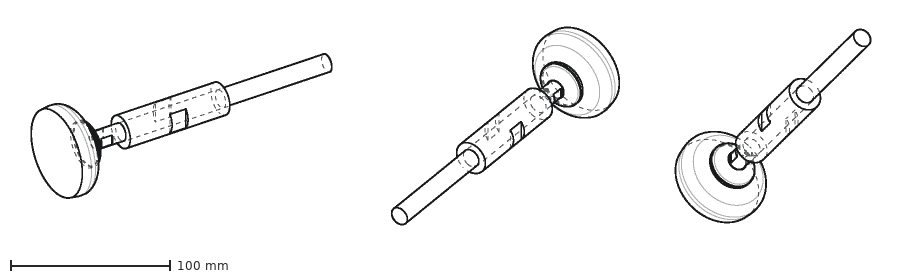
import cadquery as cq

TOTAL_LENGTH = 203.0

SPINDLE_DIAMETER = 12.0
FOOT_DIAMETER = 60.0
UNDERSIDE_DIAMETER = 58.5
RIM_HEIGHT = 6.3
BAND_TOP = 9.3
BAND_TOP_DIAMETER = 59.7
SHOULDER_HEIGHT = 15.5
SHOULDER_DIAMETER = 49.1
SHOULDER_MID_HEIGHT = 12.8
SHOULDER_MID_DIAMETER = 55.8
NECK_HEIGHT = 20.3
NECK_DIAMETER = 30.5
GROOVE_HEIGHT = 21.7
GROOVE_DIAMETER = 29.0
BEAD_BOTTOM = 22.1
BEAD_UPPER_EDGE = 23.0
BEAD_DIAMETER = 30.5
BEAD_TOP = 24.0
BEAD_TOP_DIAMETER = 28.0
CAP_TOP_DIAMETER = 12.8
CAP_TOP = 28.5
SPINDLE_FLAT_WIDTH = 10.0
SPINDLE_FLAT_START = 30.0
SPINDLE_FLAT_LENGTH = 8.1

SLEEVE_DIAMETER = 22.0
SLEEVE_START = 48.1
SLEEVE_LENGTH = 75.0
SLEEVE_FLAT_WIDTH = 17.0
SLEEVE_FLAT_LENGTH = 12.0
SLEEVE_FLAT_START = SLEEVE_START + (SLEEVE_LENGTH - SLEEVE_FLAT_LENGTH) / 2


def cylinder_on_axis(diameter, start, length):
    """Cylinder around the Y axis, growing from Y = start towards +Y."""
    return cq.Workplane("XZ", origin=(0, start, 0)).circle(diameter / 2).extrude(-length)


def cut_wrench_flats(body, diameter, width, start, length):
    """Cut two parallel flats, one on each X side of a round body."""
    for side in (-1, 1):
        cutter = (
            cq.Workplane("XY")
            .box(diameter, length, 2 * diameter)
            .translate((side * (width + diameter) / 2, start + length / 2, 0))
        )
        body = body.cut(cutter)
    return body


def make_foot():
    """Turned foot and spindle in one piece, with flats just above the foot."""
    profile = (
        cq.Workplane("XY")
        .moveTo(0, 0)
        .lineTo(UNDERSIDE_DIAMETER / 2, 0)
        .lineTo(FOOT_DIAMETER / 2, RIM_HEIGHT)
        .lineTo(BAND_TOP_DIAMETER / 2, BAND_TOP)
        .threePointArc(
            (SHOULDER_MID_DIAMETER / 2, SHOULDER_MID_HEIGHT),
            (SHOULDER_DIAMETER / 2, SHOULDER_HEIGHT),
        )
        .lineTo(NECK_DIAMETER / 2, NECK_HEIGHT)
        .lineTo(GROOVE_DIAMETER / 2, GROOVE_HEIGHT)
        .lineTo(BEAD_DIAMETER / 2, BEAD_BOTTOM)
        .lineTo(BEAD_DIAMETER / 2, BEAD_UPPER_EDGE)
        .lineTo(BEAD_TOP_DIAMETER / 2, BEAD_TOP)
        .lineTo(CAP_TOP_DIAMETER / 2, CAP_TOP)
        .lineTo(SPINDLE_DIAMETER / 2, CAP_TOP)
        .lineTo(SPINDLE_DIAMETER / 2, TOTAL_LENGTH)
        .lineTo(0, TOTAL_LENGTH)
        .close()
    )
    foot = profile.revolve(360, (0, 0, 0), (0, 1, 0))
    return cut_wrench_flats(
        foot, SPINDLE_DIAMETER, SPINDLE_FLAT_WIDTH, SPINDLE_FLAT_START, SPINDLE_FLAT_LENGTH
    )


def make_sleeve():
    """Round sleeve bored to fit the spindle, with flats at mid-length."""
    sleeve = cylinder_on_axis(SLEEVE_DIAMETER, SLEEVE_START, SLEEVE_LENGTH)
    bore = cylinder_on_axis(SPINDLE_DIAMETER, SLEEVE_START, SLEEVE_LENGTH)
    return cut_wrench_flats(
        sleeve.cut(bore), SLEEVE_DIAMETER, SLEEVE_FLAT_WIDTH, SLEEVE_FLAT_START, SLEEVE_FLAT_LENGTH
    )


foot = make_foot()
sleeve = make_sleeve()
result = cq.Compound.makeCompound([foot.val(), sleeve.val()])